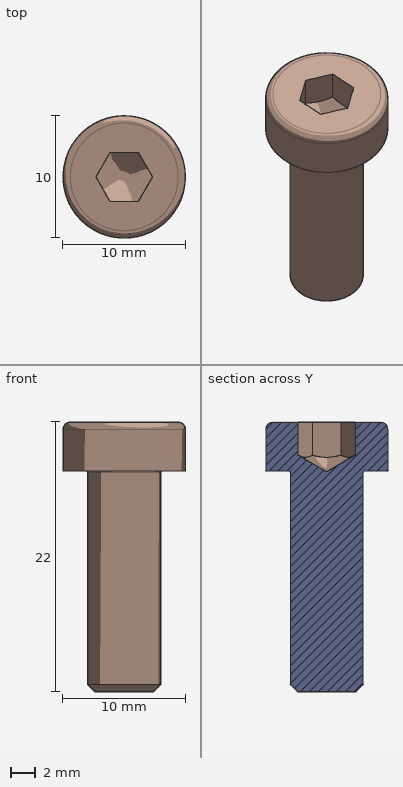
import cadquery as cq
import math

head_diameter = 10.0
head_height = 4.0
head_edge_radius = 0.6
shank_diameter = 6.0
shank_length = 18.0
neck_fillet_radius = 0.1
tip_chamfer = 0.613
socket_across_flats = 4.0
socket_depth = 2.7
socket_cone_half_angle = 60.0

socket_across_corners = socket_across_flats / math.cos(math.radians(30))
socket_corner_radius = socket_across_corners / 2
socket_cone_height = socket_corner_radius / math.tan(math.radians(socket_cone_half_angle))


def make_head():
    """Low cylindrical head with a rounded top rim."""
    head = cq.Workplane("XY").circle(head_diameter / 2).extrude(head_height)
    return head.faces(">Z").edges().fillet(head_edge_radius)


def make_shank():
    """Plain shank pointing down, chamfered at the tip."""
    shank = cq.Workplane("XY").circle(shank_diameter / 2).extrude(-shank_length)
    return shank.faces("<Z").edges().chamfer(tip_chamfer)


def make_socket():
    """Hexagon socket, corners along X, ending in a cone-shaped bottom."""
    hexagon = (
        cq.Workplane("XY")
        .workplane(offset=head_height)
        .polygon(6, socket_across_corners)
        .extrude(-(socket_depth + socket_cone_height))
    )
    cone_rim_z = head_height - socket_depth
    tool_profile = (
        cq.Workplane("XZ")
        .moveTo(0, cone_rim_z - socket_cone_height)
        .lineTo(socket_corner_radius, cone_rim_z)
        .lineTo(socket_corner_radius, head_height)
        .lineTo(0, head_height)
        .close()
    )
    pointed_tool = tool_profile.revolve(360, (0, 0), (0, 1))
    return hexagon.intersect(pointed_tool)


def fillet_neck(screw):
    """Small fillet where the shank meets the underside of the head."""
    underside = cq.selectors.NearestToPointSelector((0, 0, 0))
    neck_edge = cq.selectors.RadiusNthSelector(0)
    return screw.faces("|Z").faces(underside).edges(neck_edge).fillet(neck_fillet_radius)


blank = fillet_neck(make_head().union(make_shank()))
result = blank.cut(make_socket())